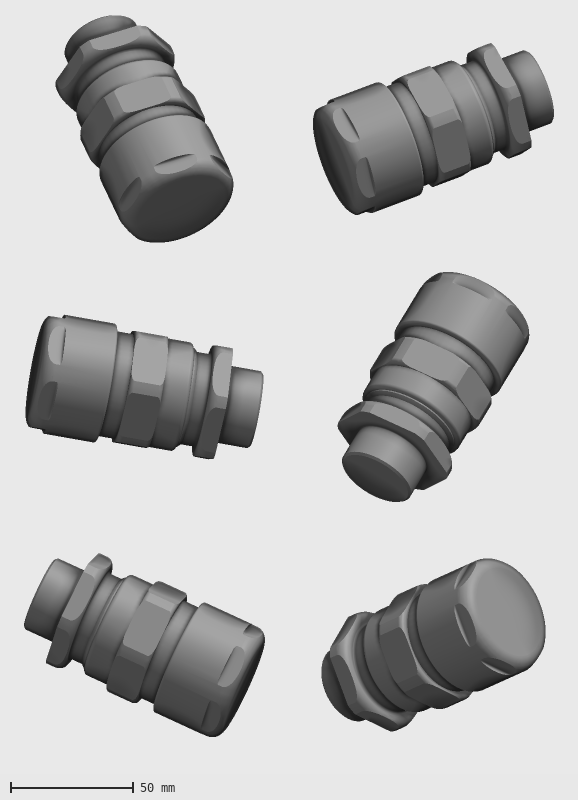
import cadquery as cq
import math


total_length = 92.3
entry_hex_start = 14.8
entry_hex_end = 22.4
cone_start = 28.2
body_start = 30.2
body_hex_start = 41.45
body_hex_end = 55.5
cap_start = 62.8
flat_start = 84.4

entry_diameter = 32.0
neck_diameter = 38.4
flange_diameter = 41.3
skirt_diameter = 45.1
sleeve_diameter = 43.6
cap_diameter = 49.5
across_flats = 46.0
corner_diameter = 50.5

entry_chamfer = 0.9
entry_root_fillet = 0.5
entry_hex_rounding = 4.0
neck_fillet = 1.0
skirt_rounding = 1.8
body_hex_rounding = 1.9
cap_front_rounding = 1.0
cap_rear_rounding = 5.5
flat_root_fillet = 0.8

hex_sides = 6
hex_step = 360.0 / hex_sides


def edge_at(x, diameter):
    """Selector for the circular edge of a turned shape at a station and diameter."""
    reach = diameter / 2 + 0.1
    margin = 0.1
    return cq.selectors.BoxSelector(
        (x - margin, -reach, -reach), (x + margin, reach, reach), boundingbox=True
    )


def cylinder(start, end, diameter):
    """Cylinder about the X axis between two stations."""
    return cq.Workplane("YZ", origin=(start, 0, 0)).circle(diameter / 2).extrude(end - start)


def hexagon(start, end):
    """Hexagonal prism about the X axis with two sides facing up and down."""
    across_corners = across_flats / math.cos(math.pi / hex_sides)
    return cq.Workplane("YZ", origin=(start, 0, 0)).polygon(hex_sides, across_corners).extrude(end - start)


def make_entry_fitting():
    """Entry spigot, hexagon rounded at the rear, neck and coned flange."""
    spigot = cylinder(0, entry_hex_start, entry_diameter).faces("<X").chamfer(entry_chamfer)

    turned_corners = cylinder(entry_hex_start, entry_hex_end, corner_diameter)
    turned_corners = turned_corners.faces(">X").edges().fillet(entry_hex_rounding)
    hex_collar = hexagon(entry_hex_start, entry_hex_end).intersect(turned_corners)

    neck = cylinder(entry_hex_end, body_start, neck_diameter)
    neck_radius = neck_diameter / 2
    flange_radius = flange_diameter / 2
    cone_end = cone_start + flange_radius - neck_radius
    cone = cq.Workplane(cq.Solid.makeCone(
        neck_radius, flange_radius, cone_end - cone_start, cq.Vector(cone_start, 0, 0), cq.Vector(1, 0, 0)
    ))
    flange = cylinder(cone_end, body_start, flange_diameter)

    fitting = spigot.union(hex_collar).union(neck).union(cone).union(flange)
    fitting = fitting.edges(edge_at(entry_hex_start, entry_diameter)).fillet(entry_root_fillet)
    return fitting.edges(edge_at(entry_hex_end, neck_diameter)).fillet(neck_fillet)


def make_hex_body():
    """Round skirt, hexagon rounded at both ends and plain rear sleeve."""
    skirt = cylinder(body_start, body_hex_start, skirt_diameter).faces("<X").edges().fillet(skirt_rounding)

    turned_corners = cylinder(body_hex_start, body_hex_end, corner_diameter)
    turned_corners = turned_corners.edges("%CIRCLE").fillet(body_hex_rounding)
    hex_collar = hexagon(body_hex_start, body_hex_end).intersect(turned_corners)

    sleeve = cylinder(body_hex_end, cap_start, sleeve_diameter)
    return skirt.union(hex_collar).union(sleeve)


def make_flat_cutter():
    """Block that cuts the upper wrench flat, with a rounded root along its front wall."""
    flat_length = total_length - flat_start
    flat_depth = (cap_diameter - across_flats) / 2
    block = cq.Workplane("XY", origin=(flat_start, 0, across_flats / 2)).box(
        flat_length, cap_diameter, 2 * flat_depth, centered=(False, True, False)
    )
    return block.edges("<X and <Z").fillet(flat_root_fillet)


def make_cap():
    """Round cap with rounded ends and six wrench flats at the rear."""
    cap = cylinder(cap_start, total_length, cap_diameter)
    cap = cap.faces("<X").edges().fillet(cap_front_rounding)
    cap = cap.faces(">X").edges().fillet(cap_rear_rounding)
    cutter = make_flat_cutter()
    for side in range(hex_sides):
        cap = cap.cut(cutter.rotate((0, 0, 0), (1, 0, 0), side * hex_step))
    return cap


entry_fitting = make_entry_fitting()
hex_body = make_hex_body()
end_cap = make_cap()

result = cq.Compound.makeCompound([entry_fitting.val(), hex_body.val(), end_cap.val()])